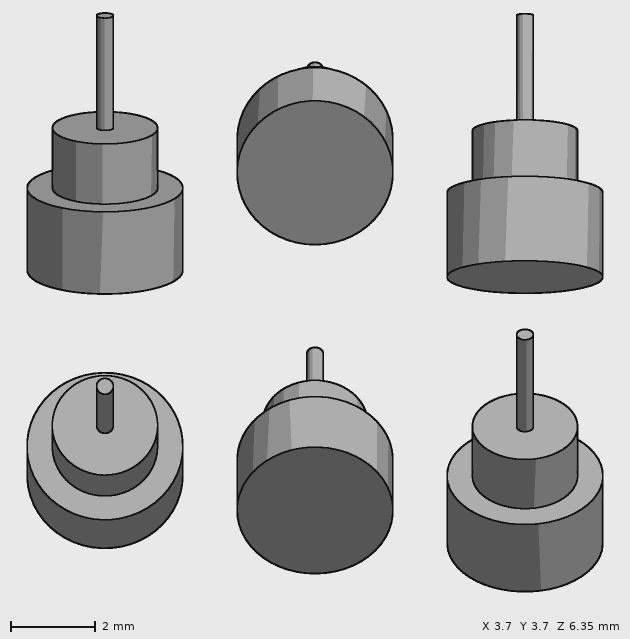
import cadquery as cq

base_diameter = 3.7
base_height = 2.05
collar_diameter = 2.5
collar_top = 3.55
pin_diameter = 0.4
pin_top = 6.35


def cylinder(diameter, bottom, top):
    """Upright cylinder on the Z axis between two heights."""
    return cq.Workplane("XY").workplane(offset=bottom).circle(diameter / 2).extrude(top - bottom)


base = cylinder(base_diameter, 0, base_height)
collar = cylinder(collar_diameter, base_height, collar_top)
pin = cylinder(pin_diameter, collar_top, pin_top)

result = base.union(collar).union(pin)